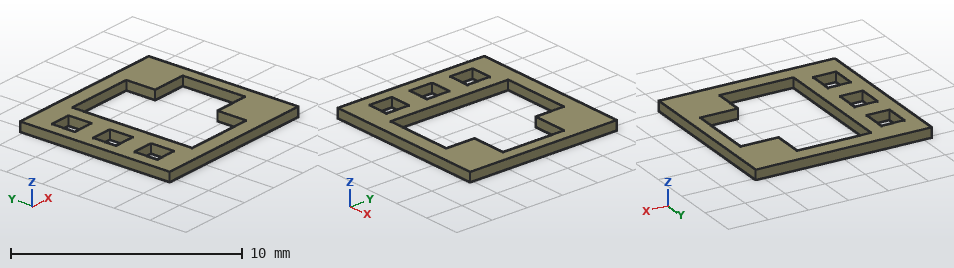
import cadquery as cq

plate_length = 8.8
plate_width = 8.33
plate_thickness = 0.5

left_edge = -plate_length / 2
window_start = left_edge + 2.55
window_length = 3.7
window_width = 6.68
extension_length = 1.89
extension_width = 3.47

small_window_margin = 0.66
small_window_length = 1.14
small_window_width = 1.28
small_window_pitch = 2.3
small_window_count = 3


def through_cutter(x_start, length, width, y_center=0):
    """Rectangular cutter through the plate, starting at x_start."""
    return (
        cq.Workplane("XY")
        .center(x_start + length / 2, y_center)
        .rect(length, width)
        .extrude(plate_thickness)
    )


plate = cq.Workplane("XY").rect(plate_length, plate_width).extrude(plate_thickness)

plate = plate.cut(through_cutter(window_start, window_length, window_width))
plate = plate.cut(
    through_cutter(window_start, window_length + extension_length, extension_width)
)

for index in range(small_window_count):
    y_center = (index - (small_window_count - 1) / 2) * small_window_pitch
    plate = plate.cut(
        through_cutter(
            left_edge + small_window_margin,
            small_window_length,
            small_window_width,
            y_center,
        )
    )

result = plate